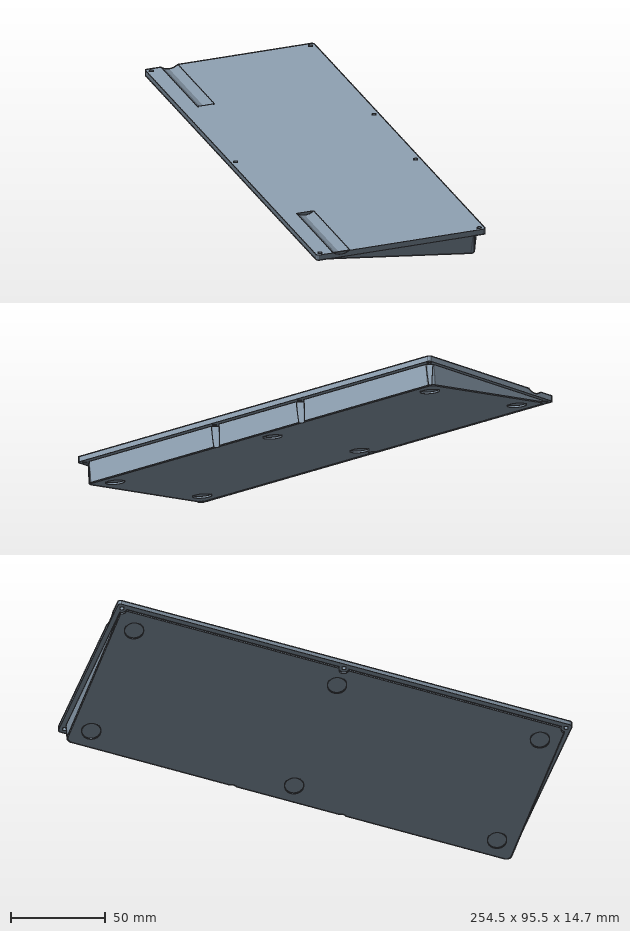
import cadquery as cq
import math

plate_length = 254.5
plate_depth = 95.5
plate_thickness = 3.0
plate_corner_radius = 1.5
total_height = 14.74

tilt = math.radians(7.0)
body_side_inset = 2.6
body_front_inset = 2.9
body_back_inset = 2.75
body_corner_radius = 3.0
body_edge_chamfer = 0.5

screw_diameter = 2.2
notch_diameter = 5.5
screw_inset = 2.75
middle_screw_spacing = 61.4

tray_length = 54.0
tray_width = 9.6
tray_depth = 1.7
tray_front = 9.2
tray_end_wall = 0.5

foot_diameter = 10.2
foot_depth = 1.0
foot_end_inset = 13.5
foot_drops = (5.3, 13.55)

center_x = plate_length / 2
slope = math.tan(tilt)
back_wall_y = plate_depth - body_back_inset
heel_drop = total_height + body_edge_chamfer * math.sin(tilt)
heel_y = back_wall_y - heel_drop * slope


def underside_y(drop):
    """Y of the underside at a given depth below the top face."""
    return heel_y - (heel_drop - drop) / slope


toe_drop = (heel_drop - (heel_y - body_front_inset) * slope) * math.cos(tilt) ** 2
toe_y = body_front_inset - toe_drop * slope


def make_plate():
    plate = cq.Workplane("XY").box(plate_length, plate_depth, plate_thickness, centered=False)
    plate = plate.translate((0, 0, -plate_thickness))
    return plate.edges("|Z").fillet(plate_corner_radius)


def make_body():
    profile = [
        (body_front_inset, 0),
        (back_wall_y, 0),
        (heel_y, -heel_drop),
        (toe_y, -toe_drop),
    ]
    body = cq.Workplane("YZ", origin=(body_side_inset, 0, 0)).polyline(profile).close()
    body = body.extrude(plate_length - 2 * body_side_inset)
    inward = cq.Vector(0, math.sin(tilt), math.cos(tilt))
    body = body.edges(cq.selectors.ParallelDirSelector(inward)).fillet(body_corner_radius)
    return body.faces(cq.selectors.DirectionMinMaxSelector(inward, False)).chamfer(body_edge_chamfer)


def screw_points():
    back_y = plate_depth - screw_inset
    right_x = plate_length - screw_inset
    half_spacing = middle_screw_spacing / 2
    front_row = [(x, screw_inset) for x in (screw_inset, center_x, right_x)]
    back_xs = (screw_inset, center_x - half_spacing, center_x + half_spacing, right_x)
    return front_row + [(x, back_y) for x in back_xs]


def make_cylinders(points, diameter, depth):
    return cq.Workplane("XY").pushPoints(points).circle(diameter / 2).extrude(-depth)


def make_tray(start_x, end_x):
    front = (tray_front, 0)
    bottom = (tray_front + tray_width / 2, -tray_depth)
    back = (tray_front + tray_width, 0)
    outline = cq.Workplane("YZ", origin=(start_x, 0, 0)).moveTo(*front)
    return outline.threePointArc(bottom, back).close().extrude(end_x - start_x)


def make_foot_recess(x, drop):
    rim_center = cq.Vector(x, underside_y(drop), -drop)
    inward = cq.Vector(0, math.sin(tilt), math.cos(tilt))
    return cq.Workplane(cq.Solid.makeCylinder(foot_diameter / 2, foot_depth, rim_center, inward))


notches = make_cylinders(screw_points(), notch_diameter, total_height)
result = make_plate().union(make_body().cut(notches))
result = result.cut(make_cylinders(screw_points(), screw_diameter, total_height))

result = result.cut(make_tray(0, tray_length))
result = result.cut(make_tray(plate_length - tray_length, plate_length - tray_end_wall))

for foot_x in (foot_end_inset, center_x, plate_length - foot_end_inset):
    for foot_drop in foot_drops:
        result = result.cut(make_foot_recess(foot_x, foot_drop))